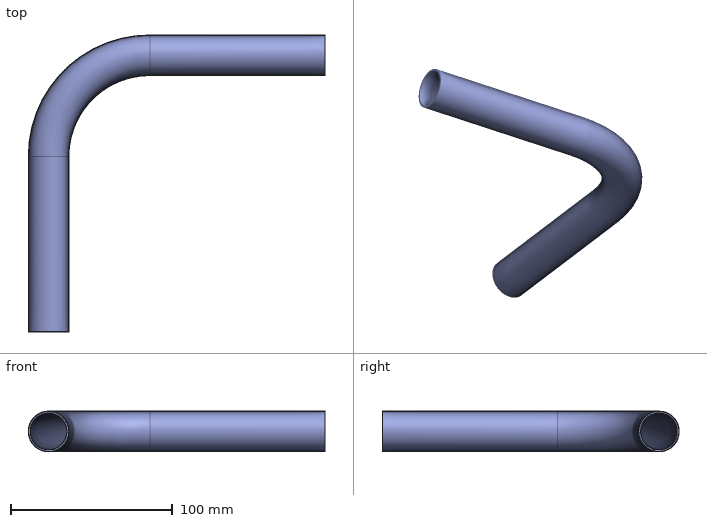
import cadquery as cq

outer_diameter = 25.0
inner_diameter = 22.6
overall_length = 183.3
bend_radius = 62.5
bend_angle = 90.0

leg_length = overall_length - outer_diameter / 2 - bend_radius


def tube_section(plane):
    """Annular tube section centred on the origin of the given plane."""
    return cq.Workplane(plane).circle(outer_diameter / 2).circle(inner_diameter / 2)


def straight_leg(plane):
    """Straight tube that starts at the origin and runs along the plane's normal."""
    return tube_section(plane).extrude(leg_length)


def elbow():
    """Bend that starts at the origin and turns from +Y to +X about a vertical axis."""
    return tube_section("XZ").revolve(bend_angle, (bend_radius, 0), (bend_radius, -1))


y_leg = straight_leg("XZ")
x_leg = straight_leg("YZ").translate((bend_radius, bend_radius, 0))

result = y_leg.union(elbow()).union(x_leg)